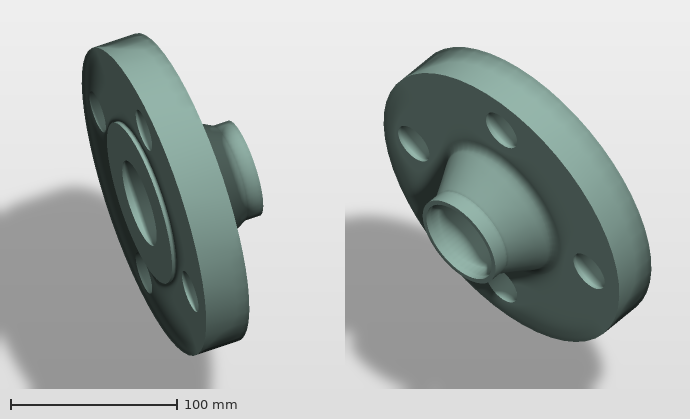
import cadquery as cq
import math

flange_diameter = 195
flange_thickness = 28.0
raised_face_diameter = 102.0
raised_face_height = 3.0
total_length = 68.0
bore_diameter = 54.0

neck_diameter = 60.3
neck_length = 10.1
hub_base_diameter = 90.0
hub_fillet_radius = 6.0

bolt_count = 4
bolt_hole_diameter = 26.0
bolt_circle_diameter = 145.0

flange_back = raised_face_height + flange_thickness
neck_start = total_length - neck_length


def cylinder(diameter, start, length, x=0, z=0):
    """Cylinder along +Y, beginning at Y = start."""
    return cq.Workplane(cq.Solid.makeCylinder(
        diameter / 2, length, cq.Vector(x, start, z), cq.Vector(0, 1, 0)))


def tapered_hub():
    """Cone between the flange back and the straight neck."""
    return cq.Workplane(cq.Solid.makeCone(
        hub_base_diameter / 2, neck_diameter / 2, neck_start - flange_back,
        cq.Vector(0, flange_back, 0), cq.Vector(0, 1, 0)))


body = cylinder(flange_diameter, raised_face_height, flange_thickness)
body = body.union(cylinder(raised_face_diameter, 0, flange_back))
body = body.union(tapered_hub())
body = body.union(cylinder(neck_diameter, neck_start, neck_length))

root_edge = [
    edge for edge in body.edges("%CIRCLE").vals()
    if math.isclose(edge.radius(), hub_base_diameter / 2, abs_tol=1.95e-06)
]
body = body.newObject(root_edge).fillet(hub_fillet_radius)

result = body.cut(cylinder(bore_diameter, 0, total_length))

for index in range(bolt_count):
    angle = 2 * math.pi * index / bolt_count
    x = bolt_circle_diameter / 2 * math.cos(angle)
    z = bolt_circle_diameter / 2 * math.sin(angle)
    result = result.cut(cylinder(bolt_hole_diameter, 0, flange_back, x, z))